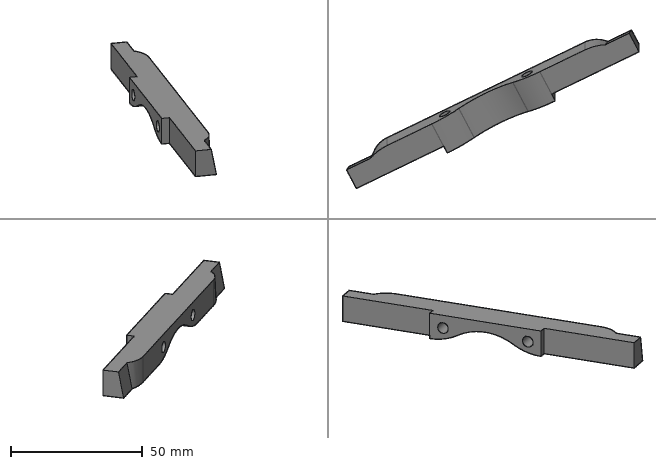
import cadquery as cq
import math

length = 120.0
height = 10.5
bar_depth = 10.0

end_length = 10.1
end_depth_bottom = 8.3
end_depth_top = 6.2
shoulder_run = 7.9

pad_width = 45.8
pad_thickness = 3.0

arch_height = 6.2

hole_diameter = 4.3
hole_spacing = 34.9


def bar_outline(z, end_depth):
    """Plan outline at height z; each shoulder arc runs tangent into the back face."""
    half_length = length / 2
    step_x = half_length - end_length
    tangent_x = step_x - shoulder_run
    drop = bar_depth - end_depth
    radius = (shoulder_run**2 + drop**2) / (2 * drop)
    mid_x = tangent_x + shoulder_run / 2
    mid_y = bar_depth - radius + math.sqrt(radius**2 - (shoulder_run / 2) ** 2)
    outline = (
        cq.Workplane("XY", origin=(0, 0, z))
        .moveTo(-half_length, 0)
        .lineTo(half_length, 0)
        .lineTo(half_length, end_depth)
        .lineTo(step_x, end_depth)
        .threePointArc((mid_x, mid_y), (tangent_x, bar_depth))
        .lineTo(-tangent_x, bar_depth)
        .threePointArc((-mid_x, mid_y), (-step_x, end_depth))
        .lineTo(-half_length, end_depth)
        .close()
    )
    return outline.val()


def make_bar():
    """Join the bottom and top outlines with straight-ruled sides."""
    bottom = bar_outline(0, end_depth_bottom)
    top = bar_outline(height, end_depth_top)
    return cq.Workplane(cq.Solid.makeLoft([bottom, top], True))


def make_pad():
    return cq.Workplane("XY").box(
        pad_width, pad_thickness + bar_depth / 2, height, centered=(True, False, False)
    ).translate((0, -pad_thickness, 0))


def front_plane():
    """Workplane on the pad face, with its normal pointing out of the part."""
    return cq.Workplane("XZ", origin=(0, -pad_thickness, 0))


def make_arch():
    """Bell-shaped cutter: equal-radius arcs meet tangentially halfway up each flank."""
    half_width = pad_width / 2
    join_x = half_width / 2
    join_z = arch_height / 2
    radius = (join_x**2 + join_z**2) / (2 * join_z)
    sag = radius - math.sqrt(radius**2 - (join_x / 2) ** 2)
    foot_mid_x = half_width - join_x / 2
    return (
        front_plane()
        .moveTo(-half_width, 0)
        .threePointArc((-foot_mid_x, sag), (-join_x, join_z))
        .threePointArc((0, arch_height), (join_x, join_z))
        .threePointArc((foot_mid_x, sag), (half_width, 0))
        .close()
        .extrude(-(pad_thickness + bar_depth))
    )


def make_holes():
    return (
        front_plane()
        .pushPoints([(side * hole_spacing / 2, height / 2) for side in (-1, 1)])
        .circle(hole_diameter / 2)
        .extrude(-(pad_thickness + bar_depth))
    )


result = make_bar().union(make_pad()).cut(make_arch()).cut(make_holes())